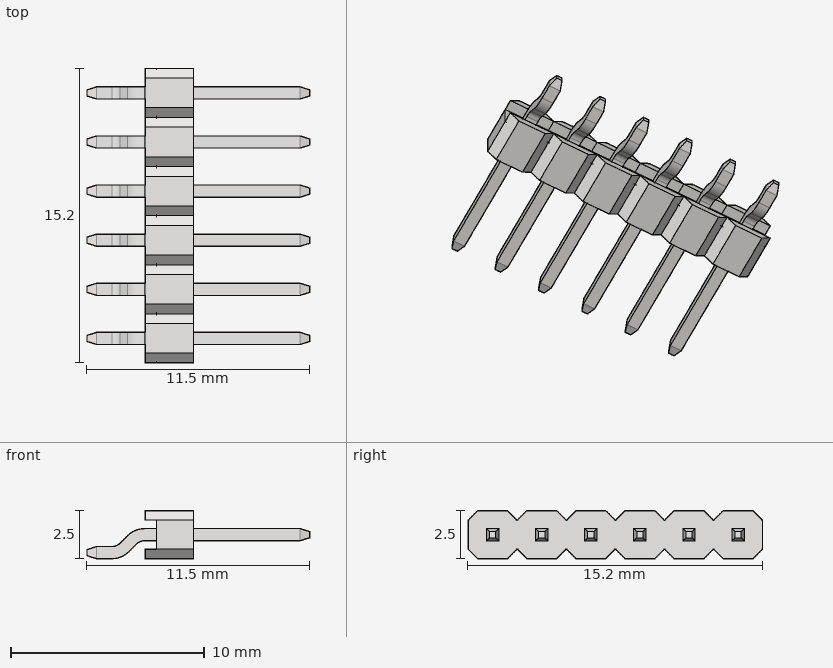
import cadquery as cq
import math


pin_count = 6
row_length = 15.2
pitch = row_length / pin_count
pin_places = [(index - (pin_count - 1) / 2) * pitch for index in range(pin_count)]

housing_depth = 2.5
housing_height = 2.5
notch = 0.5
recess_depth = 0.58

overall_depth = 11.5
pin_size = 0.64
tip_size = pin_size / 2
tip_length = 0.5
pin_height = housing_height / 2
foot_height = pin_size / 2
tail_reach = 3.01
foot_length = 0.79
bend_radius = 0.91
bend_angle = math.radians(45)

foot_start = -tail_reach + tip_length
foot_end = foot_start + foot_length
pin_end = overall_depth - tail_reach - tip_length

bend_advance = bend_radius * math.sin(bend_angle)
bend_drop = bend_radius * (1 - math.cos(bend_angle))
slope_drop = pin_height - foot_height - 2 * bend_drop
slope_advance = slope_drop / math.tan(bend_angle)


def make_lobe(y):
    """One octagonal section of the housing, a full pitch wide."""
    return (
        cq.Workplane("XY")
        .box(housing_depth, pitch, housing_height, centered=(False, True, False))
        .edges("|X")
        .chamfer(notch)
        .translate((0, y, 0))
    )


def make_housing():
    """Row of lobes with a recessed tail face and a square through hole for each pin."""
    body = make_lobe(pin_places[0])
    for y in pin_places[1:]:
        body = body.union(make_lobe(y))

    recess = cq.Workplane("XY").box(
        recess_depth, row_length, housing_height - 2 * notch, centered=(False, True, False)
    )
    body = body.cut(recess.translate((0, 0, notch)))

    holes = (
        cq.Workplane("YZ")
        .pushPoints([(y, pin_height) for y in pin_places])
        .rect(pin_size, pin_size)
        .extrude(housing_depth)
    )
    return body.cut(holes)


def make_tip(x, z, direction):
    """Pyramid frustum that starts at x and tapers along X; direction is +1 or -1."""
    return (
        cq.Workplane("YZ", origin=(x, 0, z))
        .rect(pin_size, pin_size)
        .workplane(offset=direction * tip_length)
        .rect(tip_size, tip_size)
        .loft(combine=True)
    )


def make_pin(y):
    """Square wire: flat foot, S-bend up to the housing axis, straight contact, two tapered tips."""
    slope_start = (foot_end + bend_advance, foot_height + bend_drop)
    slope_end = (slope_start[0] + slope_advance, slope_start[1] + slope_drop)
    bend_end = (slope_end[0] + bend_advance, pin_height)

    axis = (
        cq.Workplane("XZ")
        .moveTo(foot_start, foot_height)
        .lineTo(foot_end, foot_height)
        .tangentArcPoint(slope_start, relative=False)
        .lineTo(*slope_end)
        .tangentArcPoint(bend_end, relative=False)
        .lineTo(pin_end, pin_height)
    )
    wire = (
        cq.Workplane("YZ", origin=(foot_start, 0, foot_height))
        .rect(pin_size, pin_size)
        .sweep(axis)
    )
    foot_tip = make_tip(foot_start, foot_height, -1)
    contact_tip = make_tip(pin_end, pin_height, 1)
    return wire.union(foot_tip).union(contact_tip).translate((0, y, 0))


housing = make_housing()
pins = [make_pin(y) for y in pin_places]

result = cq.Compound.makeCompound([housing.solids().val(), *[pin.solids().val() for pin in pins]])